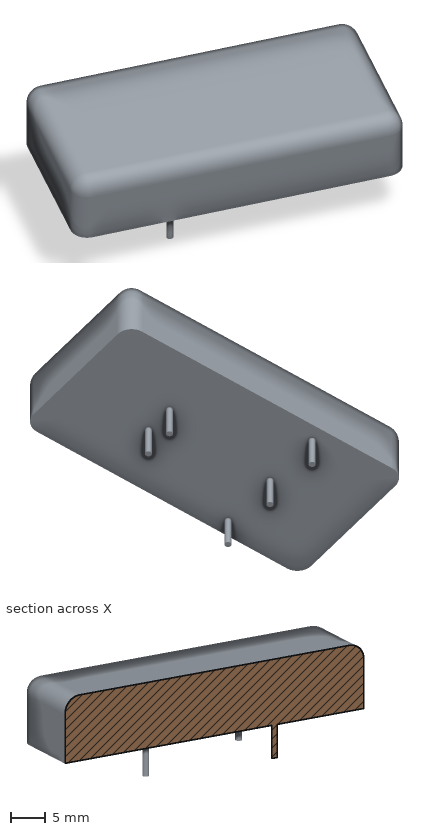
import cadquery as cq

body_width = 25.4
body_length = 50.8
body_height = 10.15
edge_radius = 2.55

pin_diameter = 1.0
pin_length = 5.1
pin_row_y = 10.15
outer_pin_pitch = 10.15
inner_pin_pitch = 5.1


def make_body():
    """Block standing on Z = 0, with rounded upright and top edges."""
    block = cq.Workplane("XY").box(body_width, body_length, body_height, centered=(True, True, False))
    return block.edges("|Z or >Z").fillet(edge_radius)


def make_pin_row(count, pitch, row_y):
    """Row of pins centred on X = 0, hanging below the block."""
    first_x = -pitch * (count - 1) / 2
    centers = [(first_x + i * pitch, row_y) for i in range(count)]
    return cq.Workplane("XY").pushPoints(centers).circle(pin_diameter / 2).extrude(-pin_length)


three_pin_row = make_pin_row(3, outer_pin_pitch, -pin_row_y)
two_pin_row = make_pin_row(2, inner_pin_pitch, pin_row_y)

result = make_body().union(three_pin_row).union(two_pin_row)